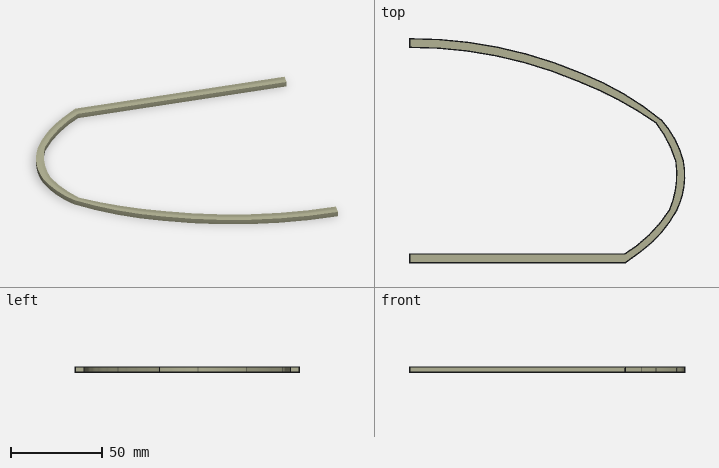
import cadquery as cq

length = 151.0
depth = 123.0
thickness = 3.0
strip_width = 4.8

lower_corner_outer = (118.4, 0)
lower_corner_inner = (118.0, strip_width)

outer_arcs = [
    ((50.5, 118.0), (94.4, 104.0)),
    ((116.6, 93.3), (138.3, 78.2)),
    ((146.2, 66.7), (150.3, 55.9)),
    ((length, 47.5), (146.6, 28.8)),
    ((138.3, 16.8), (127.2, 6.3)),
]
inner_arcs = [
    ((50.5, 113.0), (92.7, 99.5)),
    ((113.3, 90.2), (135.2, 76.9)),
    ((141.6, 66.6), (146.0, 55.7)),
    ((146.5, 46.0), (142.5, 29.0)),
    ((135.0, 19.0), (124.6, 9.4)),
]


def edge_arcs(outline, arcs):
    """Continue an outline along a chain of arcs."""
    for through, end in arcs:
        outline = outline.threePointArc(through, end)
    return outline


def reversed_arcs(arcs, start):
    """The same chain of arcs, travelled from its far end back to start."""
    ends = [start] + [end for _, end in arcs[:-1]]
    backward = [(through, end) for (through, _), end in zip(arcs, ends)]
    return backward[::-1]


outline = cq.Workplane("XY").moveTo(0, depth)
outline = edge_arcs(outline, outer_arcs)
outline = outline.lineTo(*lower_corner_outer).lineTo(0, 0)

outline = outline.lineTo(0, strip_width).lineTo(*lower_corner_inner)
outline = outline.lineTo(*inner_arcs[-1][1])
outline = edge_arcs(outline, reversed_arcs(inner_arcs, (0, depth - strip_width)))

result = outline.close().extrude(thickness)